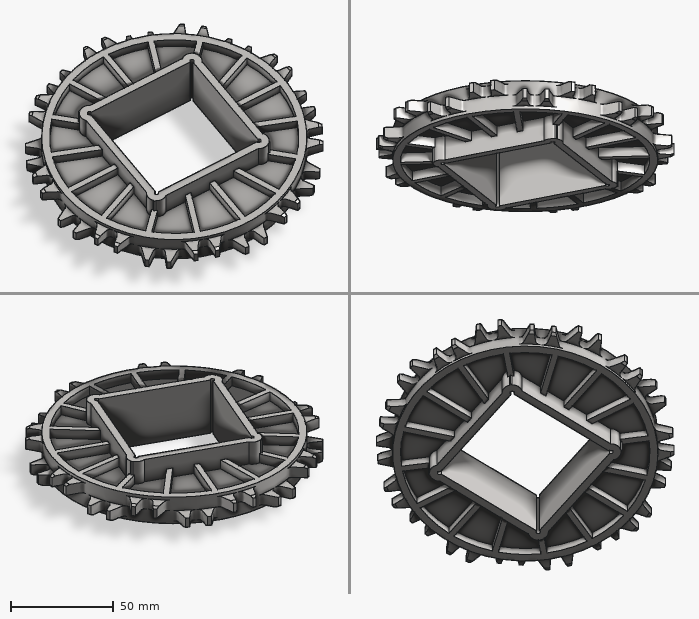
import cadquery as cq
import math

bore_side = 60.0
hub_wall = 4.0
hub_height = 30.0
corner_radius = 5.0
relief_radius = 1.0

rim_radius = 65.0
rim_wall = 4.0
rim_height = 15.0
web_thickness = 5.0
rib_width = 3.0
rib_count = 16

overall_length = 145.7
pair_count = 9
pair_turn = 0.5
tooth_height = 5.8
inner_tip_angle = 3.5
outer_tip_angle = 5.0
inner_flank_angle = 14.0
outer_flank_angle = 19.0
tooth_fillet = 2.5
tip_chamfer_length = 1.7
tip_chamfer_height = 0.7

match_tolerance = 0.01
hub_side = bore_side + 2 * hub_wall
inner_radius = rim_radius - rim_wall
tip_radius = overall_length / 2 / math.cos(math.radians(inner_tip_angle - pair_turn))


def square_with_pillars(side, pillar_radius):
    """Square block as tall as the hub, with a round pillar on each corner of the bore."""
    block = cq.Workplane("XY").box(side, side, hub_height)
    pillars = (
        cq.Workplane("XY")
        .rect(bore_side, bore_side, forConstruction=True)
        .vertices()
        .circle(pillar_radius)
        .extrude(hub_height / 2, both=True)
    )
    return block.union(pillars)


def web_pocket_cutter():
    """Ring-shaped space between the ribs, above and below the web."""
    depth = (rim_height - web_thickness) / 2
    space = cq.Workplane("XY").workplane(offset=web_thickness / 2).circle(inner_radius).extrude(depth)
    space = space.union(space.mirror("XY"))
    for index in range(rib_count // 2):
        rib = cq.Workplane("XY").box(2 * rim_radius, rib_width, rim_height)
        space = space.cut(rib.rotate((0, 0, 0), (0, 0, 1), index * 360 / rib_count))
    return space


def flank_points(tip_angle, lean):
    """Root and tip of a straight flank; a positive lean moves the root away from the pair's centre line."""
    angle = math.radians(tip_angle)
    tip = (tip_radius * math.cos(angle), tip_radius * math.sin(angle))
    root_y = tip[1] + (tip[0] - inner_radius) * math.tan(math.radians(lean))
    return (inner_radius, root_y), tip


def tooth_pair():
    """Two mirrored tapered teeth beside the X axis, rooted inside the rim."""
    inner_root, inner_tip = flank_points(inner_tip_angle, -inner_flank_angle)
    outer_root, outer_tip = flank_points(outer_tip_angle, outer_flank_angle)
    tip_middle_angle = math.radians((inner_tip_angle + outer_tip_angle) / 2)
    tip_middle = (tip_radius * math.cos(tip_middle_angle), tip_radius * math.sin(tip_middle_angle))
    tooth = (
        cq.Workplane("XY")
        .moveTo(*inner_root)
        .lineTo(*inner_tip)
        .threePointArc(tip_middle, outer_tip)
        .lineTo(*outer_root)
        .close()
        .extrude(-tooth_height)
    )
    return tooth.union(tooth.mirror("XZ"))


def is_tooth_root(edge):
    """True where a flank meets the rim; the rim's own seam on the X axis is left out."""
    centre = edge.Center()
    on_rim = abs(math.hypot(centre.x, centre.y) - rim_radius) < match_tolerance
    return on_rim and abs(centre.y) > match_tolerance


def lower_teeth():
    """Ring of tooth pairs below the middle plane, filleted at the root and chamfered at the tip."""
    ring = cq.Workplane("XY").circle(rim_radius).extrude(-tooth_height)
    pair = tooth_pair()
    for index in range(pair_count):
        ring = ring.union(pair.rotate((0, 0, 0), (0, 0, 1), pair_turn + index * 360 / pair_count))

    root_edges = [edge for edge in ring.edges("|Z").vals() if is_tooth_root(edge)]
    ring = ring.newObject(root_edges).fillet(tooth_fillet)
    tip_envelope = (
        cq.Workplane("XY")
        .circle(tip_radius)
        .extrude(-tooth_height)
        .faces("<Z")
        .edges()
        .chamfer(tip_chamfer_height, tip_chamfer_length)
    )
    return ring.intersect(tip_envelope)


def lower_half():
    """Tooth layer with the plain flange of the rim below it."""
    flange_height = rim_height / 2 - tooth_height
    flange = cq.Workplane("XY").workplane(offset=-tooth_height).circle(rim_radius).extrude(-flange_height)
    return lower_teeth().union(flange)


lower = lower_half()
upper = lower.rotate((0, 0, 0), (0, 1, 0), 180)
hub = square_with_pillars(hub_side, corner_radius)
bore = square_with_pillars(bore_side, relief_radius)

result = lower.union(upper).cut(web_pocket_cutter()).union(hub).cut(bore)